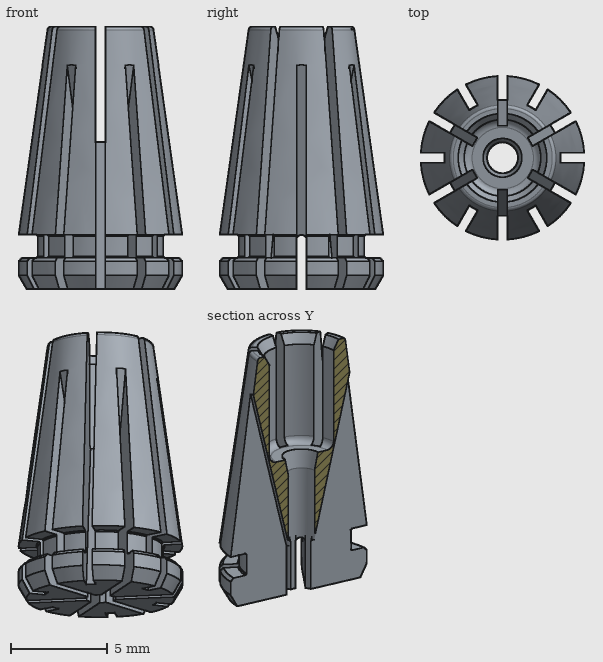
import cadquery as cq
import math

total_height = 13.6
outer_diameter = 8.5
outer_radius = outer_diameter / 2

lower_chamfer_height = 0.71
lower_chamfer_angle = 30.0
flange_height = 1.62
upper_chamfer = 0.18

neck_radius = 3.26
cone_base_z = 2.82
neck_corner = 0.07

cone_half_angle = 8.0
nose_round = 0.19

bore_radius = 1.99
mouth_radius = 2.3
mouth_depth = 0.55
bore_floor_z = 7.62
floor_round = 0.4
hole_diameter = 1.59
hole_mouth_radius = 1.0
hole_taper_depth = 0.95

slots_per_set = 6
slot_width = 0.5
slot_pitch = 360.0 / slots_per_set
upper_slot_inner_radius = 1.65
upper_slot_inner_z = 7.67
upper_slot_foot_radius = 3.0
lower_slot_inner_z = 2.8
lower_slot_end_z = 11.61
slot_clearance = 0.68


def cone_radius(z):
    """Radius of the outer cone at height z."""
    return outer_radius - (z - cone_base_z) * math.tan(math.radians(cone_half_angle))


def outer_body():
    """Solid of revolution: flange, neck groove and cone with a rounded nose."""
    foot_radius = outer_radius - lower_chamfer_height * math.tan(math.radians(lower_chamfer_angle))
    profile = (
        cq.Workplane("XZ")
        .moveTo(0, 0)
        .lineTo(foot_radius, 0)
        .lineTo(outer_radius, lower_chamfer_height)
        .lineTo(outer_radius, flange_height - upper_chamfer)
        .lineTo(outer_radius - upper_chamfer, flange_height)
        .lineTo(neck_radius + neck_corner, flange_height)
        .lineTo(neck_radius, flange_height + neck_corner)
        .lineTo(neck_radius, cone_base_z - neck_corner)
        .lineTo(neck_radius + neck_corner, cone_base_z)
        .lineTo(outer_radius, cone_base_z)
        .lineTo(cone_radius(total_height), total_height)
        .lineTo(0, total_height)
        .close()
    )
    body = profile.revolve(360, (0, 0, 0), (0, 1, 0))
    return body.faces(">Z").edges().fillet(nose_round)


def bore():
    """Stepped bore: tapered mouth, round-cornered floor and a through hole that flares at its top."""
    hole_radius = hole_diameter / 2
    corner_center_r = bore_radius - floor_round
    corner_center_z = bore_floor_z + floor_round
    corner_middle = (
        corner_center_r + floor_round * math.sin(math.pi / 4),
        corner_center_z - floor_round * math.cos(math.pi / 4),
    )
    profile = (
        cq.Workplane("XZ")
        .moveTo(0, 0)
        .lineTo(hole_radius, 0)
        .lineTo(hole_radius, bore_floor_z - hole_taper_depth)
        .lineTo(hole_mouth_radius, bore_floor_z)
        .lineTo(corner_center_r, bore_floor_z)
        .threePointArc(corner_middle, (bore_radius, corner_center_z))
        .lineTo(bore_radius, total_height - mouth_depth)
        .lineTo(mouth_radius, total_height)
        .lineTo(0, total_height)
        .close()
    )
    return profile.revolve(360, (0, 0, 0), (0, 1, 0))


def slot_set(outline, first_angle):
    """Six slots cut to a radial outline of (radius, z) points, spread around Z."""
    blade = cq.Workplane("XZ").polyline(outline).close().extrude(slot_width / 2, both=True)
    blades = cq.Workplane("XY")
    for index in range(slots_per_set):
        angle = first_angle + index * slot_pitch
        blades = blades.add(blade.rotate((0, 0, 0), (0, 0, 1), angle))
    return blades.combine()


reach = outer_radius + slot_clearance

upper_slot = [
    (upper_slot_foot_radius, 0),
    (upper_slot_inner_radius, upper_slot_inner_z),
    (upper_slot_inner_radius, total_height),
    (reach, total_height),
    (reach, 0),
]

lower_slot = [
    (0, 0),
    (hole_diameter / 2, lower_slot_inner_z),
    (cone_radius(lower_slot_end_z), lower_slot_end_z),
    (reach, lower_slot_end_z),
    (reach, 0),
]

result = (
    outer_body()
    .cut(bore())
    .cut(slot_set(upper_slot, slot_pitch / 2))
    .cut(slot_set(lower_slot, 0))
)